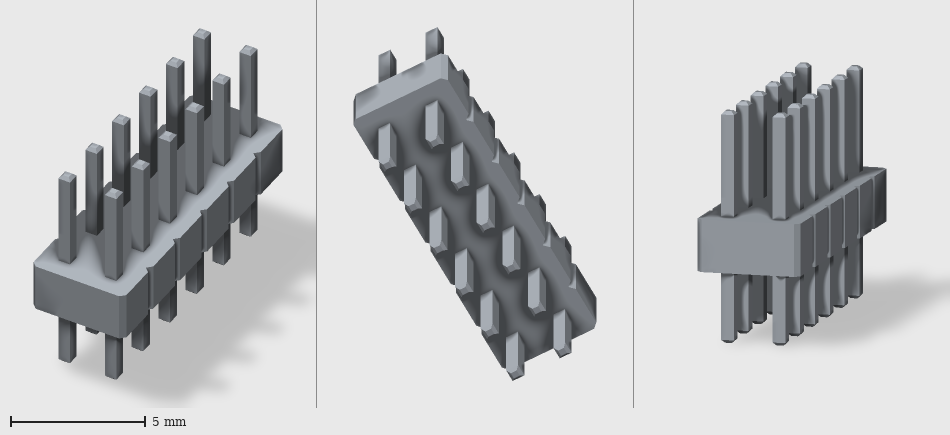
import cadquery as cq

pitch = 2.0
rows = 6
columns = 2

body_width = columns * pitch
body_height = 2.0
notch_size = 0.2

pin_side = 0.5
pin_above_body = 4.0
pin_below_body = 2.8
pin_length = pin_above_body + body_height + pin_below_body
tip_chamfer = 0.125


def row_block(center_y):
    """One pitch of the body, with chamfered upright edges that form the notches."""
    return (
        cq.Workplane("XY")
        .center(0, center_y)
        .rect(body_width, pitch)
        .extrude(body_height)
        .edges("|Z")
        .chamfer(notch_size)
    )


def pin(center_x, center_y):
    """A square pin through the body, chamfered all round at both tips."""
    return (
        cq.Workplane("XY", origin=(center_x, center_y, -pin_below_body))
        .rect(pin_side, pin_side)
        .extrude(pin_length)
        .faces("<Z or >Z")
        .chamfer(tip_chamfer)
    )


def centered_positions(count):
    """Pitch-spaced positions, symmetric about zero."""
    return [(index - (count - 1) / 2) * pitch for index in range(count)]


result = cq.Workplane("XY")
for y in centered_positions(rows):
    result = result.union(row_block(y))
    for x in centered_positions(columns):
        result = result.union(pin(x, y))
result = result.clean()